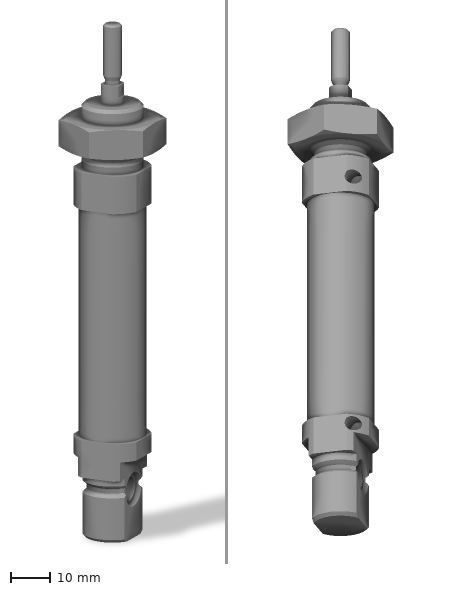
import cadquery as cq
import math

total_height = 136.4

thread_diameter = 16.0
groove_diameter = 13.6
end_diameter = 14.3
barrel_diameter = 17.3

cap_width = 18.0
cap_corner_diameter = 20.0
cap_height = 10.0

chamfer_height = 0.89
rear_cap_bottom = 17.0
rear_cap_top = rear_cap_bottom + cap_height
front_cap_bottom = 88.4
collar_top = 115.4

groove_floor = 1.2
groove_slope = 1.0
groove_width = groove_floor + 2 * groove_slope
rear_groove_bottom = 12.0
front_groove_bottom = 100.3

clevis_width = 12.0
clevis_top = 22.1
pin_hole_diameter = 6.0
pin_hole_height = 13.0
recess_outer_diameter = 9.0
recess_inner_diameter = 7.8
recess_depth = 1.1

port_diameter = 3.8
port_depth = 5.5
port_offset = 5.9
rear_port_height = 24.5
front_port_height = 92.5

nut_width = 24.0
nut_height = 8.0
nut_bottom = front_groove_bottom + groove_width
nut_face_diameter = 23.9
nut_chamfer_height = 0.5

rod_diameter = 6.0
rod_flat_width = 5.0
rod_flat_length = 3.1
rod_shoulder = 120.5
rod_thread_diameter = 4.8
rod_undercut_diameter = 4.0
rod_thread_bottom = 122.6
rod_undercut_top = 121.5
rod_tip_chamfer = 0.48


def revolve_profile(steps):
    """Solid of revolution about Z from (diameter, height) steps listed from bottom to top."""
    outline = [(diameter / 2, height) for diameter, height in steps]
    outline = [(0, steps[0][1])] + outline + [(0, steps[-1][1])]
    return cq.Workplane("XZ").polyline(outline).close().revolve(360, (0, 0, 0), (0, 1, 0))


def groove_steps(bottom):
    """Profile steps of one relief groove cut in the thread diameter."""
    return [
        (thread_diameter, bottom),
        (groove_diameter, bottom + groove_slope),
        (groove_diameter, bottom + groove_slope + groove_floor),
        (thread_diameter, bottom + groove_width),
    ]


def make_core():
    """Round core of the housing, from the rear clevis to the front thread."""
    steps = [(end_diameter, 0), (thread_diameter, chamfer_height)]
    steps += groove_steps(rear_groove_bottom)
    steps += [
        (thread_diameter, rear_cap_top),
        (barrel_diameter, rear_cap_top),
        (barrel_diameter, front_cap_bottom),
        (thread_diameter, front_cap_bottom),
    ]
    steps += groove_steps(front_groove_bottom)
    steps += [(thread_diameter, collar_top - chamfer_height), (end_diameter, collar_top)]
    return revolve_profile(steps)


def make_cap(bottom):
    """End cap: a square block with rounded corners."""
    base = cq.Workplane("XY").workplane(offset=bottom)
    block = base.rect(cap_width, cap_width).extrude(cap_height)
    return block.intersect(base.circle(cap_corner_diameter / 2).extrude(cap_height))


def cut_clevis_flats(body):
    """Cut both sides of the rear end flat, up into the rear cap."""
    side_depth = (cap_corner_diameter - clevis_width) / 2
    for side in (-1, 1):
        side_block = (
            cq.Workplane("XY")
            .center(side * (clevis_width + side_depth) / 2, 0)
            .rect(side_depth, cap_corner_diameter)
            .extrude(clevis_top)
        )
        body = body.cut(side_block)
    return body


def make_pin_hole():
    """Cross hole along X with a tapered recess at each end."""
    half_width = clevis_width / 2
    recess_floor = half_width - recess_depth
    half_outline = [
        (-half_width, recess_outer_diameter / 2),
        (-recess_floor, recess_inner_diameter / 2),
        (-recess_floor, pin_hole_diameter / 2),
    ]
    mirrored = [(-x, radius) for x, radius in reversed(half_outline)]
    outline = [(-half_width, 0)] + half_outline + mirrored + [(half_width, 0)]
    hole = cq.Workplane("XY").polyline(outline).close().revolve(360, (0, 0, 0), (1, 0, 0))
    return hole.translate((0, 0, pin_hole_height))


def make_port(height):
    """Blind air port going in from the +Y side of a cap."""
    face = cq.Workplane("XZ", origin=(-port_offset, cap_width / 2, height))
    return face.circle(port_diameter / 2).extrude(port_depth)


def make_housing():
    """Barrel with both end caps, the clevis, its cross hole and the air ports."""
    body = make_core()
    for bottom in (rear_cap_bottom, front_cap_bottom):
        body = body.union(make_cap(bottom))
    body = cut_clevis_flats(body)
    body = body.cut(make_pin_hole())
    for height in (rear_port_height, front_port_height):
        body = body.cut(make_port(height))
    return body


def make_nut():
    """Hex nut with two flats facing X and its corners chamfered at both ends."""
    corner_diameter = nut_width / math.cos(math.pi / 6)
    nut_top = nut_bottom + nut_height
    hexagon = (
        cq.Workplane("XY")
        .workplane(offset=nut_bottom)
        .transformed(rotate=(0, 0, 30))
        .polygon(6, corner_diameter)
        .extrude(nut_height)
    )
    chamfer_envelope = revolve_profile([
        (nut_face_diameter, nut_bottom),
        (corner_diameter, nut_bottom + nut_chamfer_height),
        (corner_diameter, nut_top - nut_chamfer_height),
        (nut_face_diameter, nut_top),
    ])
    bore = cq.Workplane("XY").circle(thread_diameter / 2).extrude(total_height)
    return hexagon.intersect(chamfer_envelope).cut(bore)


def make_rod():
    """Piston rod standing on the collar, with two wrench flats and a threaded tip."""
    rod = revolve_profile([
        (rod_diameter, collar_top),
        (rod_diameter, rod_shoulder),
        (rod_undercut_diameter, rod_shoulder),
        (rod_undercut_diameter, rod_undercut_top),
        (rod_thread_diameter, rod_thread_bottom),
        (rod_thread_diameter, total_height - rod_tip_chamfer),
        (rod_thread_diameter - 2 * rod_tip_chamfer, total_height),
    ])
    base = cq.Workplane("XY").workplane(offset=rod_shoulder - rod_flat_length)
    flats = base.rect(2 * rod_diameter, 2 * rod_diameter).rect(rod_flat_width, 2 * rod_diameter)
    return rod.cut(flats.extrude(rod_flat_length))


housing = make_housing()
nut = make_nut()
rod = make_rod()

result = cq.Compound.makeCompound([housing.val(), nut.val(), rod.val()])